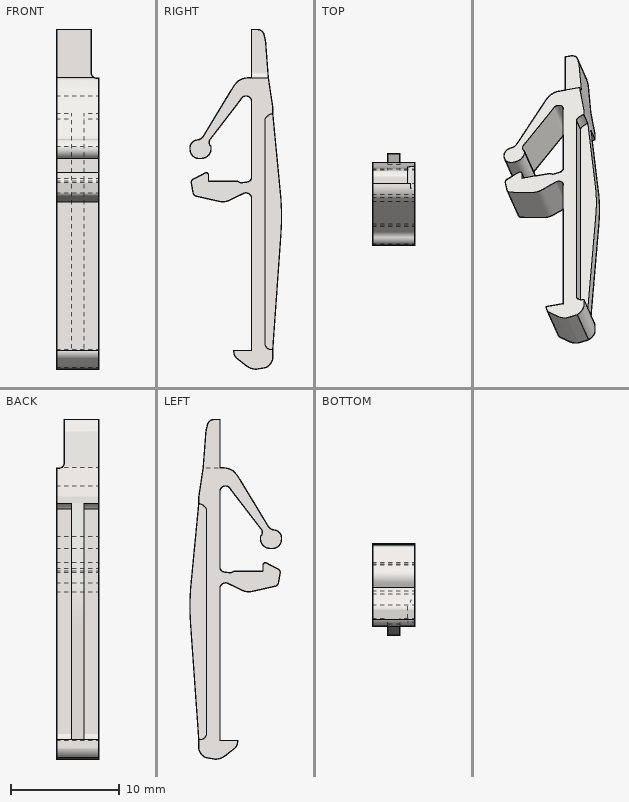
import cadquery as cq

width = 3.9
height = 31.35

spine_back = 1.25
shoulder_back = 1.98
recess_bottom = 1.82
recess_top = 23.6
recess_corner = 0.5

rib_width = 1.13
rib_crest = 2.8
rib_crest_z = 14.1
crest_half_length = 1.65
crest_drop = 0.05

hook_top = 1.75
hook_reach = 1.63
latch_top = 17.37
latch_step = 3.95
arm_top = 26.9

tab_width = 3.2
tab_fillet = 0.47
tab_foot = arm_top - 0.03


def across_width(outline, x_start, length):
    """Extrude a closed YZ outline along X."""
    return outline.close().extrude(length).translate((x_start, 0, 0))


def make_spine():
    """Spine with the thick upper end and the foot hook."""
    outline = (
        cq.Workplane("YZ")
        .moveTo(0, height)
        .lineTo(0.5, height)
        .threePointArc((0.97, 31.2), (1.2, 30.8))
        .lineTo(1.32, 30.22)
        .lineTo(1.57, arm_top)
        .lineTo(shoulder_back, 24.2)
        .lineTo(shoulder_back, recess_top)
        .threePointArc((1.47, 23.35), (spine_back, recess_top - recess_corner))
        .lineTo(spine_back, recess_bottom + recess_corner)
        .threePointArc((1.45, 1.98), (shoulder_back, recess_bottom))
        .lineTo(shoulder_back, 0.97)
        .threePointArc((1.75, 0.5), (1.35, 0.15))
        .lineTo(0.4, 0)
        .threePointArc((-0.05, 0.1), (-0.5, 0.35))
        .lineTo(-1.38, 1.05)
        .threePointArc((-1.57, 1.32), (-hook_reach, hook_top))
        .lineTo(0, hook_top)
    )
    return across_width(outline, 0, width)


def make_rib():
    """Narrow rib centred on the back, highest near the middle."""
    arc_end = rib_crest - crest_drop
    outline = (
        cq.Workplane("YZ")
        .moveTo(spine_back / 2, recess_top)
        .lineTo(shoulder_back, recess_top)
        .lineTo(arc_end, rib_crest_z + crest_half_length)
        .threePointArc((rib_crest, rib_crest_z), (arc_end, rib_crest_z - crest_half_length))
        .lineTo(shoulder_back, recess_bottom)
        .lineTo(spine_back / 2, recess_bottom)
    )
    return across_width(outline, (width - rib_width) / 2, rib_width)


def make_latch():
    """Short latch with an upturned lip and filleted root."""
    outline = (
        cq.Workplane("YZ")
        .moveTo(spine_back / 2, 15.85)
        .lineTo(0, 15.85)
        .threePointArc((-0.35, 16.25), (-0.8, 16.18))
        .lineTo(-1.98, 15.6)
        .threePointArc((-2.48, 15.45), (-2.98, 15.5))
        .lineTo(-5.08, 15.95)
        .threePointArc((-5.3, 16.08), (-5.4, 16.27))
        .lineTo(-5.55, 17.15)
        .threePointArc((-5.52, 17.4), (-5.35, 17.55))
        .lineTo(-4.33, 18.1)
        .threePointArc((-4.08, 18.12), (-latch_step, 17.93))
        .lineTo(-latch_step, latch_top)
        .lineTo(-1.3, latch_top)
        .lineTo(-1.0, 17.2)
        .lineTo(-0.5, 17.27)
        .threePointArc((-0.2, 17.37), (0, 17.62))
        .lineTo(spine_back / 2, 17.62)
    )
    return across_width(outline, 0, width)


def make_spring_arm():
    """Sloping spring arm that tapers towards a rounded bead."""
    outline = (
        cq.Workplane("YZ")
        .moveTo(spine_back / 2, arm_top)
        .lineTo(-0.28, arm_top)
        .threePointArc((-0.8, 26.8), (-1.3, 26.55))
        .lineTo(-1.63, 26.15)
        .lineTo(-4.48, 21.45)
        .threePointArc((-4.7, 21.25), (-5.05, 21.15))
        .threePointArc((-5.52, 20.88), (-5.67, 20.35))
        .threePointArc((-5.42, 19.7), (-4.7, 19.45))
        .threePointArc((-3.95, 19.75), (-3.73, 20.55))
        .threePointArc((-3.9, 20.88), (-3.75, 21.25))
        .lineTo(-0.97, 24.9)
        .threePointArc((-0.45, 25.2), (0, 24.77))
        .lineTo(spine_back / 2, 24.77)
    )
    return across_width(outline, 0, width)


def make_tab_cut():
    """Material beside the top tab, leaving a concave fillet at its foot."""
    cut_depth = 4 * spine_back
    block = (
        cq.Workplane("XY")
        .box(width, cut_depth, height, centered=(False, True, False))
        .translate((tab_width, 0, tab_foot))
    )
    return block.edges("|Y and <X and <Z").fillet(tab_fillet)


result = (
    make_spine()
    .union(make_rib())
    .union(make_latch())
    .union(make_spring_arm())
    .cut(make_tab_cut())
)